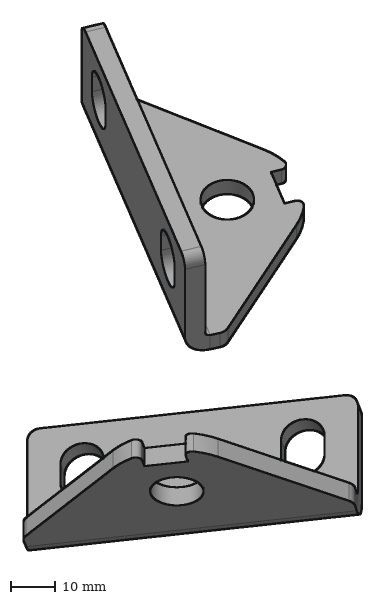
import cadquery as cq
import math

width = 76.2
flange_width = 76.05
height = 31.8
thickness = 4.8
inner_bend_radius = 1.15
outer_bend_radius = inner_bend_radius + thickness

flange_corner_radius = 3.0
slot_width = 10.0
slot_height = 14.85
slot_spacing = 50.75
slot_center_z = 19.1

hole_diameter = 12.05
hole_center_y = 22.25
nose_radius = 17.4
base_corner_y = 8.2
base_corner_radius = 3.1
notch_width = 10.0
notch_floor_y = 34.2
notch_tip_radius = 1.5

half_width = width / 2
half_flange = flange_width / 2
blank_depth = hole_center_y + nose_radius


def bent_plate():
    """L-shaped section swept across the full width."""
    upright = cq.Workplane("XY").box(width, thickness, height, centered=(True, False, False))
    base = cq.Workplane("XY").box(width, blank_depth, thickness, centered=(True, False, False))
    plate = upright.union(base)
    inner_edge = cq.selectors.NearestToPointSelector((0, thickness, thickness))
    plate = plate.edges(inner_edge).fillet(inner_bend_radius)
    outer_edge = cq.selectors.NearestToPointSelector((0, 0, 0))
    return plate.edges(outer_edge).fillet(outer_bend_radius)


def base_outline():
    """Plan shape: straight tapers tangent to a nose arc around the hole, with a notch."""
    corner_x = half_width - base_corner_radius
    corner_drop = base_corner_y - hole_center_y
    center_distance = math.hypot(corner_x, corner_drop)
    center_angle = math.atan2(corner_drop, corner_x)
    radius_change = nose_radius - base_corner_radius
    normal_angle = center_angle + math.acos(radius_change / center_distance)
    normal_x = math.cos(normal_angle)
    normal_y = math.sin(normal_angle)
    taper_low_x = corner_x + base_corner_radius * normal_x
    taper_low_y = base_corner_y + base_corner_radius * normal_y
    arc_mid_x = corner_x + base_corner_radius * math.cos(normal_angle / 2)
    arc_mid_y = base_corner_y + base_corner_radius * math.sin(normal_angle / 2)
    taper_high_x = nose_radius * normal_x
    taper_high_y = hole_center_y + nose_radius * normal_y

    outline = (
        cq.Workplane("XY")
        .moveTo(-half_flange, 0)
        .lineTo(half_flange, 0)
        .lineTo(half_flange, outer_bend_radius)
        .lineTo(half_width, base_corner_y)
        .threePointArc((arc_mid_x, arc_mid_y), (taper_low_x, taper_low_y))
        .lineTo(taper_high_x, taper_high_y)
        .threePointArc((0, hole_center_y + nose_radius), (-taper_high_x, taper_high_y))
        .lineTo(-taper_low_x, taper_low_y)
        .threePointArc((-arc_mid_x, arc_mid_y), (-half_width, base_corner_y))
        .lineTo(-half_flange, outer_bend_radius)
        .close()
        .extrude(height)
    )

    notch = (
        cq.Workplane("XY")
        .box(notch_width, nose_radius, height, centered=(True, False, False))
        .translate((0, notch_floor_y, 0))
    )
    outline = outline.cut(notch)
    half_notch = notch_width / 2
    tip_y = hole_center_y + math.sqrt(nose_radius**2 - half_notch**2)
    for side in (-1, 1):
        tip = cq.selectors.NearestToPointSelector((side * half_notch, tip_y, height / 2))
        outline = outline.edges(tip).fillet(notch_tip_radius)
    return outline


def round_flange_corners(bracket):
    """Round the two top corners of the upright flange."""
    return bracket.edges("|Y and >Z").fillet(flange_corner_radius)


def mounting_slots():
    """Two vertical round-ended slots through the upright flange."""
    return (
        cq.Workplane("XZ", origin=(0, 0, slot_center_z))
        .pushPoints([(-slot_spacing / 2, 0), (slot_spacing / 2, 0)])
        .slot2D(slot_height, slot_width, 90)
        .extrude(-thickness)
    )


def base_hole():
    """Round hole through the base, concentric with the nose."""
    return (
        cq.Workplane("XY")
        .center(0, hole_center_y)
        .circle(hole_diameter / 2)
        .extrude(thickness)
    )


bracket = bent_plate().intersect(base_outline())
bracket = round_flange_corners(bracket)
result = bracket.cut(mounting_slots()).cut(base_hole())